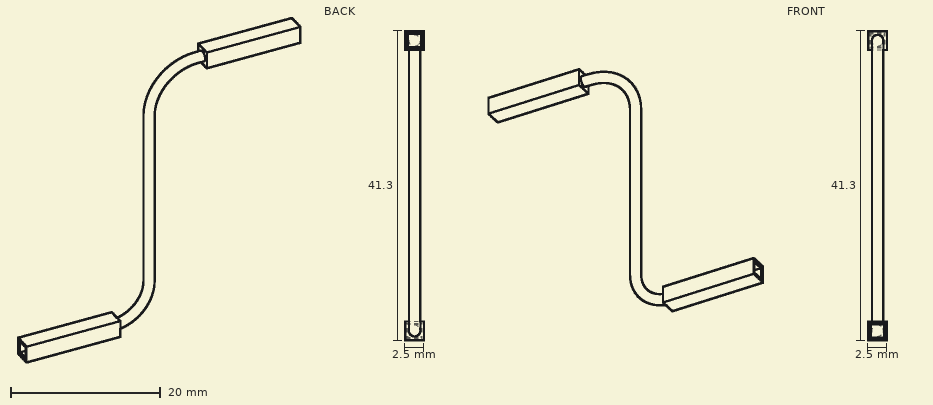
import cadquery as cq

overall_length = 41.0
overall_height = 41.25

socket_width = 2.5
socket_length = 14.02
mouth_width = 2.0
bore_width = 1.75
mouth_depth = (mouth_width - bore_width) / 2
bore_depth = 12.37

rod_diameter = 1.53
upper_stub = 0.9
upper_bend_radius = 7.1
lower_bend_radius = 5.45

axis_height = (overall_height - socket_width) / 2
socket_end_y = overall_length / 2
socket_face_y = socket_end_y - socket_length
upper_bend_y = socket_face_y - upper_stub
rod_y = upper_bend_y - upper_bend_radius
lower_bend_y = rod_y - lower_bend_radius


def make_socket():
    """Socket along Y, with its open end at Y = 0 and its closed end at +Y."""
    body = cq.Workplane("XZ").rect(socket_width, socket_width).extrude(-socket_length)
    bore = cq.Workplane("XZ").rect(bore_width, bore_width).extrude(-bore_depth)
    lead_in = (
        cq.Workplane("XZ")
        .rect(mouth_width, mouth_width)
        .workplane(offset=-mouth_depth)
        .rect(bore_width, bore_width)
        .loft(ruled=True)
    )
    return body.cut(bore).cut(lead_in)


def make_rod():
    """S-shaped rod, from the upper socket's face to the end of the lower bend."""
    path = (
        cq.Workplane("YZ")
        .moveTo(socket_face_y, axis_height)
        .lineTo(upper_bend_y, axis_height)
        .tangentArcPoint((rod_y, axis_height - upper_bend_radius), relative=False)
        .lineTo(rod_y, -axis_height + lower_bend_radius)
        .tangentArcPoint((lower_bend_y, -axis_height), relative=False)
    )
    start = cq.Workplane("XZ", origin=(0, socket_face_y, axis_height))
    return start.circle(rod_diameter / 2).sweep(path)


lower_socket = make_socket().translate((0, -socket_end_y, -axis_height))
upper_socket = (
    make_socket()
    .rotate((0, 0, 0), (0, 0, 1), 180)
    .translate((0, socket_end_y, axis_height))
)

result = make_rod().union(lower_socket).union(upper_socket)